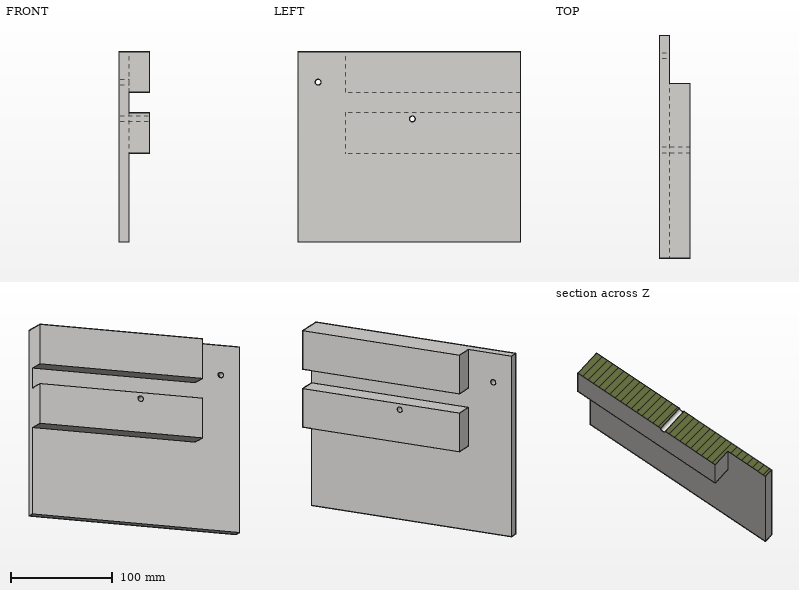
import cadquery as cq

overall_depth = 30.0
plate_width = 218.8
plate_height = 187.0
plate_thickness = 10.0

bar_depth = overall_depth - plate_thickness
bar_length = 171.8
bar_height = 40.0
bar_gap = 20.0
bar_count = 2

hole_diameter = 5.5
corner_hole = (20.0, 30.0)
bar_hole = (112.5, 66.0)


def make_plate():
    return cq.Workplane("XY").box(plate_thickness, plate_width, plate_height, centered=False)


def make_bar(index):
    top = plate_height - index * (bar_height + bar_gap)
    return (
        cq.Workplane("XY")
        .box(bar_depth, bar_length, bar_height, centered=False)
        .translate((plate_thickness, 0, top - bar_height))
    )


def make_hole(from_side, from_top):
    return (
        cq.Workplane("YZ")
        .center(plate_width - from_side, plate_height - from_top)
        .circle(hole_diameter / 2)
        .extrude(overall_depth)
    )


result = make_plate()
for bar_index in range(bar_count):
    result = result.union(make_bar(bar_index))
for from_side, from_top in (corner_hole, bar_hole):
    result = result.cut(make_hole(from_side, from_top))